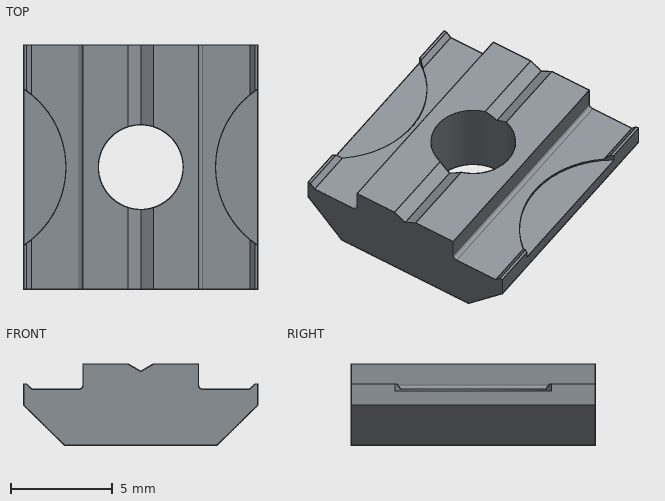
import cadquery as cq

width = 11.5
length = 12.0
height = 4.0

flange_floor_z = 2.76
lip_height = 0.25
lip_crest_width = 0.15
bevel_width = 2.0
bevel_height = 1.97
rib_width = 5.68
root_radius = 0.2
groove_width = 1.25
groove_depth = 0.36

hole_diameter = 4.15
recess_radius = 4.6
recess_reach = 2.08
recess_depth = 0.1

half_width = width / 2
half_rib = rib_width / 2
lip_top_z = flange_floor_z + lip_height
lip_crest_x = half_width - lip_crest_width
lip_foot_x = lip_crest_x - lip_height


def make_half_body():
    """Extrude the +X half of the cross-section along Y."""
    return (
        cq.Workplane("XZ")
        .moveTo(0, 0)
        .lineTo(half_width - bevel_width, 0)
        .lineTo(half_width, bevel_height)
        .lineTo(half_width, lip_top_z)
        .lineTo(lip_crest_x, lip_top_z)
        .lineTo(lip_foot_x, flange_floor_z)
        .lineTo(half_rib + root_radius, flange_floor_z)
        .radiusArc((half_rib, flange_floor_z + root_radius), root_radius)
        .lineTo(half_rib, height)
        .lineTo(groove_width / 2, height)
        .lineTo(0, height - groove_depth)
        .close()
        .extrude(length / 2, both=True)
    )


def make_recess(side):
    """Cylinder that cuts the lip and flange on one side (-1 or 1)."""
    center_x = side * (half_width - recess_reach + recess_radius)
    return (
        cq.Workplane("XY", origin=(center_x, 0, flange_floor_z - recess_depth))
        .circle(recess_radius)
        .extrude(height)
    )


half_body = make_half_body()
body = half_body.union(half_body.mirror("YZ")).clean()

for side in (-1, 1):
    body = body.cut(make_recess(side))

through_hole = cq.Workplane("XY").circle(hole_diameter / 2).extrude(height)
result = body.cut(through_hole)